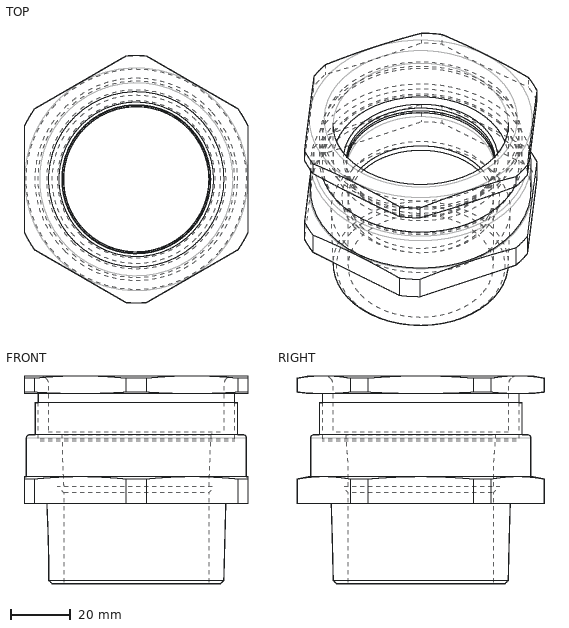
import cadquery as cq

hex_across_flats = 75.0
hex_corner_diameter = 83.0
bevel_rim_radius = 37.35

spigot_chamfer = 1.2
spigot_end_radius = 29.4
spigot_root_radius = 30.05
body_hex_bottom = 26.9
body_hex_top = 35.9
body_hex_bevel = 0.8
collar_radius = 36.9
collar_top = 50.0
collar_round = 1.1
neck_radius = 33.95
neck_top = 60.75

bore_radius = 24.3
relief_depth = 2.1
relief_top = 32.6
taper_top = 46.0
taper_top_radius = 24.8
seat_height = 47.8

nut_sleeve_radius = 32.95
nut_sleeve_bottom = 48.55
nut_hex_bottom = 63.75
nut_top = 69.7
nut_bottom_bevel = 0.5
nut_top_bevel = 0.8

nut_lip_radius = 25.0
nut_lip_chamfer = 0.9
nut_floor = 50.8
nut_bore_radius = 29.4
nut_mouth_round = 3.0


def revolve_about_z(outline):
    """Turn a closed (radius, height) outline a full circle about Z."""
    return outline.close().revolve(360, (0, 0), (0, 1))


def turned(points):
    """Turned solid with a straight-sided (radius, height) outline."""
    return revolve_about_z(cq.Workplane("XZ").polyline(points))


def disc(radius, bottom, top):
    """Plain cylinder between two heights."""
    return cq.Workplane("XY").workplane(offset=bottom).circle(radius).extrude(top - bottom)


def hexagon(bottom, top, top_bevel, bottom_bevel=0):
    """Hexagon with flats facing +X and -X, its corners turned round and bevelled."""
    corner_radius = hex_corner_diameter / 2
    outline = [(0, bottom)]
    if bottom_bevel > 0:
        outline.append((bevel_rim_radius, bottom))
    outline += [
        (corner_radius, bottom + bottom_bevel),
        (corner_radius, top - top_bevel),
        (bevel_rim_radius, top),
        (0, top),
    ]
    prism = (
        cq.Workplane("XY", origin=(0, 0, bottom))
        .polygon(6, hex_across_flats, circumscribed=True)
        .extrude(top - bottom)
    )
    return prism.intersect(turned(outline))


def make_gland_body():
    """Tapered spigot, hexagon, collar and neck, bored through and counterbored for the nut."""
    spigot = turned([
        (0, 0),
        (spigot_end_radius - spigot_chamfer, 0),
        (spigot_end_radius, spigot_chamfer),
        (spigot_root_radius, body_hex_bottom),
        (0, body_hex_bottom),
    ])
    body_hex = hexagon(body_hex_bottom, body_hex_top, body_hex_bevel)
    collar = disc(collar_radius, body_hex_top, collar_top).edges(">Z").fillet(collar_round)
    neck = disc(neck_radius, collar_top, neck_top)

    cavity = turned([
        (0, 0),
        (bore_radius, 0),
        (bore_radius, relief_top - relief_depth),
        (bore_radius + relief_depth, relief_top),
        (bore_radius, relief_top),
        (taper_top_radius, taper_top),
        (taper_top_radius, seat_height),
        (nut_sleeve_radius, seat_height),
        (nut_sleeve_radius, neck_top),
        (0, neck_top),
    ])
    return spigot.union(body_hex).union(collar).union(neck).cut(cavity)


def make_cap_nut():
    """Hexagon head on a sleeve, with a rounded mouth and an inner lip at the sleeve end."""
    head = hexagon(nut_hex_bottom, nut_top, nut_top_bevel, nut_bottom_bevel)
    sleeve = disc(nut_sleeve_radius, nut_sleeve_bottom, nut_hex_bottom)
    cavity = revolve_about_z(
        cq.Workplane("XZ")
        .moveTo(0, nut_sleeve_bottom)
        .lineTo(nut_lip_radius, nut_sleeve_bottom)
        .lineTo(nut_lip_radius, nut_floor - nut_lip_chamfer)
        .lineTo(nut_lip_radius + nut_lip_chamfer, nut_floor)
        .lineTo(nut_bore_radius, nut_floor)
        .lineTo(nut_bore_radius, nut_top - nut_mouth_round)
        .tangentArcPoint((nut_bore_radius + nut_mouth_round, nut_top), relative=False)
        .lineTo(0, nut_top)
    )
    return head.union(sleeve).cut(cavity)


gland_body = make_gland_body()
cap_nut = make_cap_nut()
result = cq.Compound.makeCompound([gland_body.val(), cap_nut.val()])